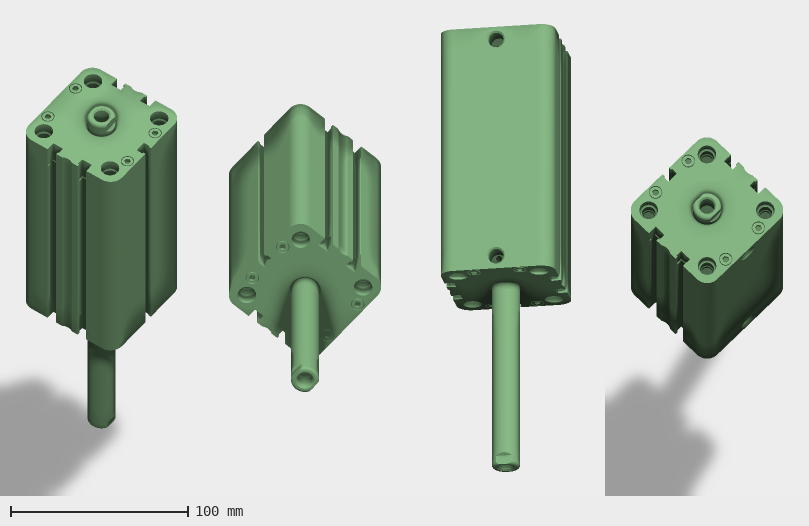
import cadquery as cq
import math

TOTAL_LENGTH = 261.0
BODY_SIDE = 65.5
BODY_CORNER_RADIUS = 8.0
BODY_LENGTH = 144.9
CAP_HEIGHT = 14.0
HALF_SIDE = BODY_SIDE / 2
BARREL_LENGTH = BODY_LENGTH - 2 * CAP_HEIGHT

SLOT_LIP = 1.5
CAP_SLOT_MOUTH = (7.5, 13.5)
CAP_SLOT_INNER = (6.8, 13.5)
CAP_SLOT_DEPTH = 5.5
BARREL_SLOT_MOUTH = (7.5, 13.0)
BARREL_SLOT_INNER = (7.5, 13.5)
BARREL_SLOT_DEPTH = 4.7
BARREL_SLOT_BEVEL = 0.5
SINGLE_SLOT_MOUTH = (-2.5, 2.5)
SINGLE_SLOT_INNER = (-3.5, 3.5)
SINGLE_SLOT_DEPTH = 5.5

GROOVE_WIDTH = 7.0
GROOVE_DEPTH = 1.0

ROD_DIAMETER = 16.0
ROD_TOP_EXTENSION = 8.0
ROD_END_RADIUS = 1.8
FLAT_WIDTH = 13.0
FLAT_LENGTH = 5.2
ROD_HOLE_DIAMETER = 8.5
ROD_HOLE_RIM_DIAMETER = 10.5
ROD_HOLE_DEPTH = 13.0

ROD_RECESS_DIAMETER = 16.5
ROD_RECESS_RIM_DIAMETER = 18.0
ROD_RECESS_DEPTH = 2.5
MOUNT_OFFSET = 23.2
MOUNT_COUNTERBORE_DIAMETER = 10.5
MOUNT_COUNTERBORE_DEPTH = 6.3
MOUNT_HOLE_DIAMETER = 7.8
MOUNT_HOLE_DEPTH = 12.0
MOUNT_CORE_DIAMETER = 6.5
SCREW_X = 28.0
SCREW_Y = 13.0
SCREW_RING_OUTER_DIAMETER = 7.5
SCREW_RING_INNER_DIAMETER = 6.5
SCREW_RING_DEPTH = 1.3
SOCKET_SIDES = 6
SOCKET_ACROSS_FLATS = 3.5
SOCKET_DEPTH = 2.0

PORT_HEIGHT = 7.5
PORT_DIAMETER = 8.5
PORT_RIM_DIAMETER = 10.5
PORT_DEPTH = 10.5
PASSAGE_DIAMETER = 3.5
PASSAGE_SHIFT = 1.8


def cone_rim(rim_diameter, hole_diameter):
    """A 45 degree countersink with its rim at Z = 0, narrowing upwards to the hole."""
    depth = (rim_diameter - hole_diameter) / 2
    rim = cq.Workplane("XY").circle(rim_diameter / 2)
    return rim.workplane(offset=depth).circle(hole_diameter / 2).loft()


def box_between(span_x, span_y, length):
    """A box from Z = 0 upwards that fills the given spans in X and Y."""
    (x_min, x_max), (y_min, y_max) = span_x, span_y
    box = cq.Workplane("XY").box(x_max - x_min, y_max - y_min, length, centered=False)
    return box.translate((x_min, y_min, 0))


def slot(mouth, inner, depth, length):
    """An undercut slot cutter that opens in the +Y side."""
    floor = HALF_SIDE - depth
    opening = box_between(mouth, (floor, HALF_SIDE), length)
    undercut = box_between(inner, (floor, HALF_SIDE - SLOT_LIP), length)
    return opening.union(undercut)


def cap_slot(length):
    """The slot of a cap, undercut towards the middle of the side."""
    return slot(CAP_SLOT_MOUTH, CAP_SLOT_INNER, CAP_SLOT_DEPTH, length)


def barrel_slot(length):
    """The barrel's slot, with a bevel on the far edge of its mouth."""
    far_wall = BARREL_SLOT_MOUTH[1]
    bevel = (
        cq.Workplane("XY")
        .polyline(
            [
                (far_wall, HALF_SIDE),
                (far_wall + BARREL_SLOT_BEVEL, HALF_SIDE),
                (far_wall, HALF_SIDE - BARREL_SLOT_BEVEL),
            ]
        )
        .close()
        .extrude(length)
    )
    return slot(BARREL_SLOT_MOUTH, BARREL_SLOT_INNER, BARREL_SLOT_DEPTH, length).union(bevel)


def groove(length):
    """A shallow round-bottomed groove cutter in the middle of the +Y side."""
    return (
        cq.Workplane("XY")
        .moveTo(-GROOVE_WIDTH / 2, HALF_SIDE)
        .threePointArc((0, HALF_SIDE - GROOVE_DEPTH), (GROOVE_WIDTH / 2, HALF_SIDE))
        .close()
        .extrude(length)
    )


def profile_block(length, side_slot):
    """A length of the outer profile, with the given cutter for its paired slots and a hole for the rod."""
    block = (
        cq.Workplane("XY")
        .rect(BODY_SIDE, BODY_SIDE)
        .extrude(length)
        .edges("|Z")
        .fillet(BODY_CORNER_RADIUS)
    )
    side_cuts = side_slot.union(side_slot.mirror("YZ")).union(groove(length))
    block = block.cut(side_cuts).cut(side_cuts.mirror("XZ"))
    single_slot = slot(SINGLE_SLOT_MOUTH, SINGLE_SLOT_INNER, SINGLE_SLOT_DEPTH, length)
    block = block.cut(single_slot.rotate((0, 0, 0), (0, 0, 1), -90))
    rod_hole = cq.Workplane("XY").circle(ROD_DIAMETER / 2).extrude(length)
    return block.cut(rod_hole)


def rod_recess():
    """A shallow clearance recess around the rod, with a countersunk rim."""
    recess = cq.Workplane("XY").circle(ROD_RECESS_DIAMETER / 2).extrude(ROD_RECESS_DEPTH)
    return recess.union(cone_rim(ROD_RECESS_RIM_DIAMETER, ROD_RECESS_DIAMETER))


def mount_hole():
    """A stepped fastening hole through the cap."""
    counterbore = cq.Workplane("XY").circle(MOUNT_COUNTERBORE_DIAMETER / 2).extrude(MOUNT_COUNTERBORE_DEPTH)
    hole = cq.Workplane("XY").circle(MOUNT_HOLE_DIAMETER / 2).extrude(MOUNT_HOLE_DEPTH)
    core = cq.Workplane("XY").circle(MOUNT_CORE_DIAMETER / 2).extrude(CAP_HEIGHT)
    return counterbore.union(hole).union(core)


def screw_recess():
    """The ring groove around a flush screw head, and its hexagon socket."""
    ring = (
        cq.Workplane("XY")
        .circle(SCREW_RING_OUTER_DIAMETER / 2)
        .circle(SCREW_RING_INNER_DIAMETER / 2)
        .extrude(SCREW_RING_DEPTH)
    )
    across_corners = SOCKET_ACROSS_FLATS / math.cos(math.pi / SOCKET_SIDES)
    socket = (
        cq.Workplane("XY")
        .polygon(SOCKET_SIDES, across_corners)
        .extrude(SOCKET_DEPTH)
        .rotate((0, 0, 0), (0, 0, 1), 90)
    )
    return ring.union(socket)


def air_port():
    """The port cutter for the -X side, with a narrow passage from its floor to the rod hole."""
    along_x = cq.Workplane("YZ", origin=(-HALF_SIDE, 0, PORT_HEIGHT))
    port = along_x.circle(PORT_DIAMETER / 2).extrude(PORT_DEPTH)
    rim = (
        cone_rim(PORT_RIM_DIAMETER, PORT_DIAMETER)
        .rotate((0, 0, 0), (0, 1, 0), 90)
        .translate((-HALF_SIDE, 0, PORT_HEIGHT))
    )
    passage = along_x.center(0, PASSAGE_SHIFT).circle(PASSAGE_DIAMETER / 2).extrude(HALF_SIDE)
    return port.union(rim).union(passage)


def end_cap():
    """The lower cap, with its outer face at Z = 0."""
    cap = profile_block(CAP_HEIGHT, cap_slot(CAP_HEIGHT)).cut(rod_recess()).cut(air_port())
    for x_side in (-1, 1):
        for y_side in (-1, 1):
            cap = cap.cut(mount_hole().translate((x_side * MOUNT_OFFSET, y_side * MOUNT_OFFSET, 0)))
            cap = cap.cut(screw_recess().translate((x_side * SCREW_X, y_side * SCREW_Y, 0)))
    return cap


def rod_flat():
    """The cutter for the flat on the +X side of the lower rod end, with a 45 degree run-out."""
    rod_radius = ROD_DIAMETER / 2
    flat_x = FLAT_WIDTH / 2
    run_out = rod_radius - flat_x
    return (
        cq.Workplane("XZ")
        .polyline([(flat_x, 0), (rod_radius, 0), (rod_radius, FLAT_LENGTH + run_out), (flat_x, FLAT_LENGTH)])
        .close()
        .extrude(rod_radius, both=True)
    )


def rod_end_cuts():
    """The flats and the end hole of the lower rod end, with the end face at Z = 0."""
    hole = cq.Workplane("XY").circle(ROD_HOLE_DIAMETER / 2).extrude(ROD_HOLE_DEPTH)
    rim = cone_rim(ROD_HOLE_RIM_DIAMETER, ROD_HOLE_DIAMETER)
    return hole.union(rim).union(rod_flat()).union(rod_flat().mirror("YZ"))


def piston_rod():
    """The through rod, placed so that its upper end stands out of the upper cap."""
    rod = (
        cq.Workplane("XY")
        .circle(ROD_DIAMETER / 2)
        .extrude(TOTAL_LENGTH)
        .faces("<Z or >Z")
        .edges()
        .fillet(ROD_END_RADIUS)
    )
    upper_cuts = rod_end_cuts().mirror("XY").translate((0, 0, TOTAL_LENGTH))
    rod = rod.cut(rod_end_cuts()).cut(upper_cuts)
    return rod.translate((0, 0, BODY_LENGTH + ROD_TOP_EXTENSION - TOTAL_LENGTH))


lower_cap = end_cap()
upper_cap = end_cap().mirror("XY").translate((0, 0, BODY_LENGTH))
barrel = profile_block(BARREL_LENGTH, barrel_slot(BARREL_LENGTH)).translate((0, 0, CAP_HEIGHT))
rod = piston_rod()

result = cq.Compound.makeCompound([lower_cap.val(), upper_cap.val(), barrel.val(), rod.val()])